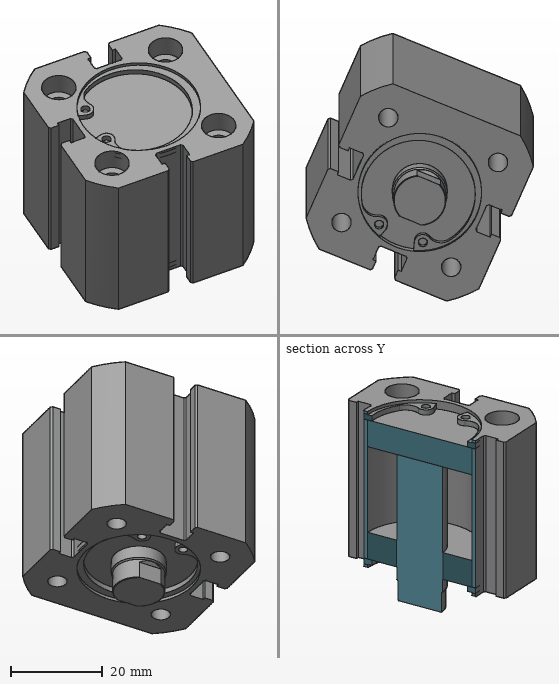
import cadquery as cq
import math


width = 41.0
height = 37.5
corner_round_diameter = 51.0
bore_diameter = 26.95

slot_mouth_width = 5.2
slot_cavity_width = 6.7
slot_lip_depth = 2.4
slot_depth = 5.9
slot_mouth_chamfer = 0.45
slot_floor_chamfer = 0.4
slot_directions = (180, 270, 0)

hole_pitch = 26.0
hole_diameter = 4.2
counterbore_diameter = 7.5
counterbore_depth = 5.1

ring_inset = 0.75
ring_thickness = 1.25
ring_slot_wall = 0.11
ring_radius = width / 2 - slot_depth - ring_slot_wall
ring_opening_radius = 12.45
ring_opening_offset = 0.83
lug_x = 5.18
lug_y = 10.45
lug_radius = 1.83
lug_hole_diameter = 1.95
lug_blend_radius = 3.3

cover_thickness = 6.52
cover_inset = ring_inset + ring_thickness
head_cover_top = height - cover_inset
head_cover_bottom = head_cover_top - cover_thickness

rod_diameter = 12.0
rod_end_diameter = 11.4
rod_projection = 6.0
rod_shoulder_projection = 0.95
rod_tip_chamfer = 0.15
flat_width = 10.0
flat_length = 4.0


def cylinder(diameter, bottom, length):
    """Solid cylinder on the Z axis."""
    return cq.Workplane("XY").workplane(offset=bottom).circle(diameter / 2).extrude(length)


def make_slot_cutter():
    """T-slot along the +X face, open outwards and running the full height."""
    face = width / 2
    floor = face - slot_depth
    lip = face - slot_lip_depth
    mouth = slot_mouth_width / 2
    cavity = slot_cavity_width / 2
    upper_half = [
        (floor, cavity - slot_floor_chamfer),
        (floor + slot_floor_chamfer, cavity),
        (lip, cavity),
        (lip, mouth),
        (face - slot_mouth_chamfer, mouth),
        (face, mouth + slot_mouth_chamfer),
    ]
    lower_half = [(x, -y) for x, y in reversed(upper_half)]
    return cq.Workplane("XY").polyline(upper_half + lower_half).close().extrude(height)


def make_housing():
    """Square profile with turned corners, a through bore, T-slots and mounting holes."""
    body = cq.Workplane("XY").rect(width, width).extrude(height)
    body = body.intersect(cylinder(corner_round_diameter, 0, height))
    body = body.cut(cylinder(bore_diameter, 0, height))
    slot_cutter = make_slot_cutter()
    for direction in slot_directions:
        body = body.cut(slot_cutter.rotate((0, 0, 0), (0, 0, 1), direction))
    return (
        body.faces(">Z")
        .workplane(origin=(0, 0, height))
        .rect(hole_pitch, hole_pitch, forConstruction=True)
        .vertices()
        .cboreHole(hole_diameter, counterbore_diameter, counterbore_depth)
    )


def point_towards(start, end, distance):
    """Point at a distance from start along the line to end."""
    reach = math.dist(start, end)
    return tuple(a + (b - a) * distance / reach for a, b in zip(start, end))


def make_retaining_ring(bottom):
    """Internal circlip: eccentric opening, gap towards -Y and two lugs with plier holes."""
    opening_center = (0, -ring_opening_offset)
    lug_center = (lug_x, -lug_y)

    to_opening = ring_opening_radius - lug_blend_radius
    to_lug = lug_radius + lug_blend_radius
    base = math.dist(opening_center, lug_center)
    base_angle = math.atan2(lug_center[1] - opening_center[1], lug_x)
    corner_angle = math.acos((to_opening**2 + base**2 - to_lug**2) / (2 * to_opening * base))
    blend_angle = base_angle + corner_angle
    blend_center = (
        to_opening * math.cos(blend_angle),
        opening_center[1] + to_opening * math.sin(blend_angle),
    )
    blend_start = point_towards(opening_center, blend_center, ring_opening_radius)
    blend_end = point_towards(blend_center, lug_center, lug_blend_radius)
    blend_chord_middle = tuple((a + b) / 2 for a, b in zip(blend_start, blend_end))
    blend_middle = point_towards(blend_center, blend_chord_middle, lug_blend_radius)

    lug_distance = math.hypot(lug_x, lug_y)
    gap_angle = math.atan2(lug_x, lug_y) - math.asin(lug_radius / lug_distance)
    tangent_distance = math.sqrt(lug_distance**2 - lug_radius**2)
    gap_direction = (math.sin(gap_angle), -math.cos(gap_angle))
    lug_end = tuple(tangent_distance * c for c in gap_direction)
    gap_end = tuple(ring_radius * c for c in gap_direction)
    lug_chord_middle = tuple((a + b) / 2 for a, b in zip(blend_end, lug_end))
    lug_middle = point_towards(lug_center, lug_chord_middle, lug_radius)

    def mirrored(point):
        return (-point[0], point[1])

    ring = (
        cq.Workplane("XY")
        .workplane(offset=bottom)
        .moveTo(*gap_end)
        .threePointArc((0, ring_radius), mirrored(gap_end))
        .lineTo(*mirrored(lug_end))
        .threePointArc(mirrored(lug_middle), mirrored(blend_end))
        .threePointArc(mirrored(blend_middle), mirrored(blend_start))
        .threePointArc((0, ring_opening_radius - ring_opening_offset), blend_start)
        .threePointArc(blend_middle, blend_end)
        .threePointArc(lug_middle, lug_end)
        .close()
        .extrude(ring_thickness)
    )
    plier_holes = (
        cq.Workplane("XY")
        .workplane(offset=bottom)
        .pushPoints([lug_center, mirrored(lug_center)])
        .circle(lug_hole_diameter / 2)
        .extrude(ring_thickness)
    )
    return ring.cut(plier_holes)


def make_head_cover():
    """Plain disc that closes the upper end of the bore."""
    return cylinder(bore_diameter, head_cover_bottom, cover_thickness)


def make_rod_cover():
    """Disc that closes the lower end of the bore and guides the piston rod."""
    disc = cylinder(bore_diameter, cover_inset, cover_thickness)
    return disc.cut(cylinder(rod_diameter, cover_inset, cover_thickness))


def make_rod_flat_cutter():
    """Wrench flat on the +Y side, its upper end running out at 45 degrees."""
    flat = flat_width / 2
    outside = rod_diameter / 2
    flat_top = flat_length - rod_projection
    profile = [
        (flat, -rod_projection),
        (flat, flat_top),
        (outside, flat_top + outside - flat),
        (outside, -rod_projection),
    ]
    return cq.Workplane("YZ").polyline(profile).close().extrude(rod_diameter / 2, both=True)


def make_piston_rod():
    """Rod with a chamfered step down to its end, and two wrench flats."""
    radius = rod_diameter / 2
    end_radius = rod_end_diameter / 2
    step = radius - end_radius
    profile = [
        (0, head_cover_bottom),
        (radius, head_cover_bottom),
        (radius, -rod_shoulder_projection),
        (end_radius, -rod_shoulder_projection - step),
        (end_radius, rod_tip_chamfer - rod_projection),
        (end_radius - rod_tip_chamfer, -rod_projection),
        (0, -rod_projection),
    ]
    rod = cq.Workplane("XZ").polyline(profile).close().revolve(360, (0, 0, 0), (0, 1, 0))
    flat_cutter = make_rod_flat_cutter()
    for direction in (0, 180):
        rod = rod.cut(flat_cutter.rotate((0, 0, 0), (0, 0, 1), direction))
    return rod


housing = make_housing()
head_cover = make_head_cover()
rod_cover = make_rod_cover()
piston_rod = make_piston_rod()

retaining_rings = []
for ring_bottom in (ring_inset, height - ring_inset - ring_thickness):
    ring = make_retaining_ring(ring_bottom)
    housing = housing.cut(ring)
    retaining_rings.append(ring.val())

result = cq.Compound.makeCompound(
    [housing.val(), head_cover.val(), rod_cover.val(), piston_rod.val(), *retaining_rings]
)